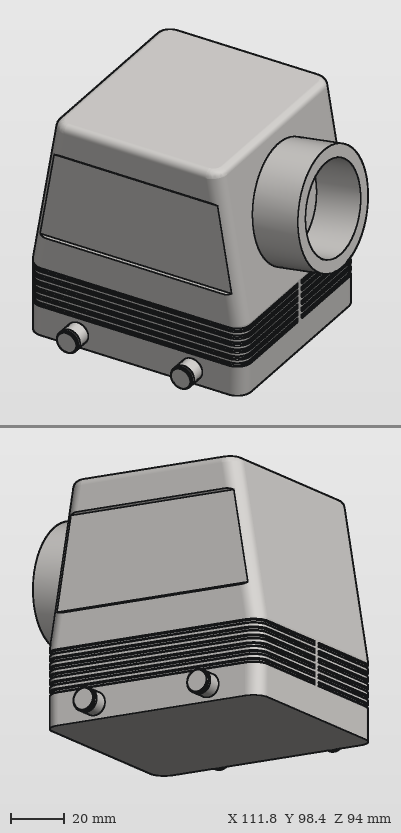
import cadquery as cq
import math

body_length = 93.5
body_width = 82.4
body_height = 94.0
fold_height = 30.5
lean_angle = 9.5
corner_radius = 6.0
top_radius = 3.0

recess_depth = 0.8
recess_bottom = 43.0
recess_top = 80.9

groove_count = 6
groove_pitch = 3.0
groove_width = 1.7
groove_depth = 0.5
lowest_groove = 12.6
rib_width = 3.0

pin_spacing = 49.3
pin_height = 6.1
pin_reach = 8.0
pin_diameter = 9.2
neck_diameter = 5.4
neck_length = 0.8
head_length = 1.3
head_chamfer = 0.5

entry_x = 61.0
entry_z = 65.7
entry_diameter = 49.0
entry_bore = 38.5
entry_length = 19.3

root_depth = 5.6

half_length = body_length / 2
half_width = body_width / 2
lean = math.radians(lean_angle)


def make_body():
    top_half_length = half_length - (body_height - fold_height) * math.tan(lean)
    body = (
        cq.Workplane("XZ")
        .polyline([
            (-half_length, 0),
            (half_length, 0),
            (half_length, fold_height),
            (top_half_length, body_height),
            (-top_half_length, body_height),
            (-half_length, fold_height),
        ])
        .close()
        .extrude(half_width, both=True)
    )
    body = body.edges("not (|X or |Y)").fillet(corner_radius)
    return body.faces(">Z").edges().fillet(top_radius)


def make_recess():
    """Recess with 45 degree upper and lower flanks, for the -Y side."""
    wall = -half_width
    floor = wall + recess_depth
    return (
        cq.Workplane("YZ")
        .polyline([
            (wall, recess_bottom),
            (floor, recess_bottom + recess_depth),
            (floor, recess_top - recess_depth),
            (wall, recess_top),
        ])
        .close()
        .extrude(half_length, both=True)
    )


def skirt_section(z, inset):
    """Rounded skirt outline at height z, moved inwards by the inset."""
    return (
        cq.Sketch()
        .rect(body_length - 2 * inset, body_width - 2 * inset)
        .vertices()
        .fillet(corner_radius - inset)
        .moved(cq.Location(cq.Vector(0, 0, z)))
    )


def make_groove(bottom):
    """Trapezoidal ring groove, left uncut at the ribs on both end walls."""
    top = bottom + groove_width
    floor_bottom = bottom + groove_depth
    floor_top = top - groove_depth
    lower_flank = cq.Workplane().placeSketch(
        skirt_section(bottom, 0), skirt_section(floor_bottom, groove_depth)).loft()
    floor = cq.Workplane().placeSketch(
        skirt_section(floor_bottom, groove_depth)).extrude(floor_top - floor_bottom)
    upper_flank = cq.Workplane().placeSketch(
        skirt_section(floor_top, groove_depth), skirt_section(top, 0)).loft()
    rib = cq.Workplane().box(body_length, rib_width, groove_width, centered=(True, True, False))
    core = lower_flank.union(floor).union(upper_flank)
    band = cq.Workplane().placeSketch(skirt_section(bottom, 0)).extrude(groove_width)
    return band.cut(core).cut(rib.translate((0, 0, bottom)))


def make_pin():
    """Turned pin pointing along -Y, with a neck behind its chamfered head."""
    pin_radius = pin_diameter / 2
    neck_radius = neck_diameter / 2
    barrel_end = pin_reach - head_length - neck_length
    head_start = pin_reach - head_length
    return (
        cq.Workplane("XY")
        .polyline([
            (0, root_depth),
            (pin_radius, root_depth),
            (pin_radius, -barrel_end),
            (neck_radius, -barrel_end),
            (neck_radius, -head_start),
            (pin_radius - head_chamfer, -head_start),
            (pin_radius, -head_start - head_chamfer),
            (pin_radius, -pin_reach + head_chamfer),
            (pin_radius - head_chamfer, -pin_reach),
            (0, -pin_reach),
        ])
        .close()
        .revolve(360, (0, 0), (0, 1))
        .translate((0, -half_width, pin_height))
    )


body = make_body()

recess = make_recess()
body = body.cut(recess).cut(recess.mirror("XZ"))

for index in range(groove_count):
    body = body.cut(make_groove(lowest_groove + index * groove_pitch))

for side in (-1, 1):
    pin = make_pin().translate((side * pin_spacing / 2, 0, 0))
    body = body.union(pin).union(pin.mirror("XZ"))

entry_plane = cq.Plane(
    origin=(entry_x, 0, entry_z),
    xDir=(0, 1, 0),
    normal=(math.cos(lean), 0, math.sin(lean)),
)
collar = cq.Workplane(entry_plane).circle(entry_diameter / 2).extrude(-entry_length - root_depth)
bore = cq.Workplane(entry_plane).circle(entry_bore / 2).extrude(-entry_length)

result = body.union(collar).cut(bore)